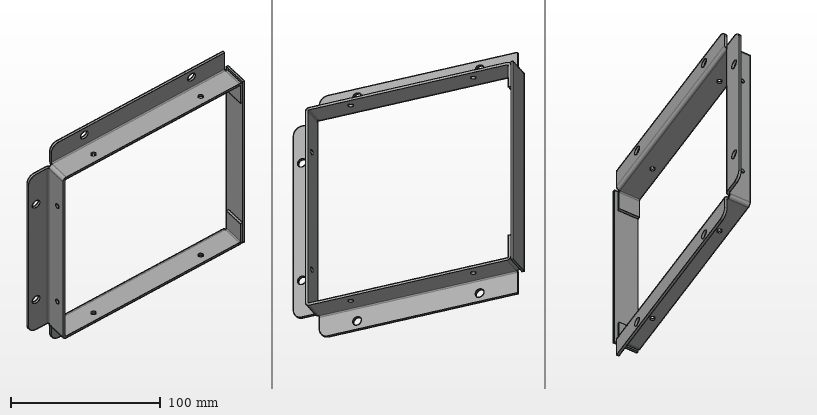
import cadquery as cq
import math

depth = 18.26
frame_sheet = 1.885
strip_sheet = 1.588
inner_bend = 0.79
outer_bend = inner_bend + frame_sheet

frame_height = 152.4
total_width = 168.47
flange_reach = depth - frame_sheet
frame_width = total_width - flange_reach - strip_sheet

tab_length = 19.05
corner_radius = 6.35

mount_hole_diameter = 6.35
mount_hole_edge = 6.35
wall_hole_diameter = 3.45
wall_hole_edge = 6.35
hole_spacing_horizontal = 89.8
hole_spacing_vertical = 90.5


def frame_walls():
    """Three walls with rounded corners, and two tabs left on the open +Y side."""
    wall_depth = depth - outer_bend
    outer = (
        cq.Workplane("YZ", origin=(outer_bend, 0, 0))
        .rect(frame_width, frame_height)
        .extrude(wall_depth)
        .edges("|X")
        .fillet(outer_bend)
    )
    opening = (
        cq.Workplane("YZ", origin=(outer_bend, 0, 0))
        .rect(frame_width - 2 * frame_sheet, frame_height - 2 * frame_sheet)
        .extrude(wall_depth)
        .edges("|X")
        .fillet(inner_bend)
    )
    tab_gap = cq.Workplane("XY").box(2 * depth, 2 * outer_bend, frame_height - 2 * tab_length)
    return outer.cut(opening).cut(tab_gap.translate((depth, frame_width / 2, 0)))


def flange(wall_offset, wall_length, rounded_corners):
    """Bend and flange that stand up (+Z) from a wall whose outer face is at Z = wall_offset."""
    length = wall_length - 2 * outer_bend
    bend_center_z = wall_offset + inner_bend
    edge_z = wall_offset + flange_reach
    diagonal = math.sqrt(0.5)
    profile = (
        cq.Workplane("XZ", origin=(0, length / 2, 0))
        .moveTo(0, edge_z)
        .lineTo(0, bend_center_z)
        .threePointArc(
            (outer_bend * (1 - diagonal), bend_center_z - outer_bend * diagonal),
            (outer_bend, bend_center_z - outer_bend),
        )
        .lineTo(outer_bend, wall_offset)
        .threePointArc(
            (outer_bend - inner_bend * diagonal, bend_center_z - inner_bend * diagonal),
            (frame_sheet, bend_center_z),
        )
        .lineTo(frame_sheet, edge_z)
        .close()
    )
    return profile.extrude(length).edges("|X and >Z").edges(rounded_corners).fillet(corner_radius)


def side_holes(wall_offset, spacing):
    """Cutters for the two flange holes and two wall holes of one side, in the +Z position."""
    pair = [(-spacing / 2, 0), (spacing / 2, 0)]
    mount_holes = (
        cq.Workplane("YZ", origin=(0, 0, wall_offset + flange_reach - mount_hole_edge))
        .pushPoints(pair)
        .circle(mount_hole_diameter / 2)
        .extrude(frame_sheet)
    )
    wall_holes = (
        cq.Workplane("XY", origin=(depth - wall_hole_edge, 0, wall_offset - frame_sheet))
        .pushPoints([(0, y) for y, _ in pair])
        .circle(wall_hole_diameter / 2)
        .extrude(frame_sheet)
    )
    return mount_holes.add(wall_holes)


def make_frame():
    sides = [
        (0, frame_height / 2, frame_width, "<Y", hole_spacing_horizontal),
        (90, frame_width / 2, frame_height, "<Y or >Y", hole_spacing_vertical),
        (180, frame_height / 2, frame_width, ">Y", hole_spacing_horizontal),
    ]
    frame = frame_walls()
    for turn, offset, length, rounded_corners, spacing in sides:
        side = flange(offset, length, rounded_corners)
        frame = frame.union(side.rotate((0, 0, 0), (1, 0, 0), turn))
        for cutter in side_holes(offset, spacing).vals():
            frame = frame.cut(cutter.rotate((0, 0, 0), (1, 0, 0), turn))
    return frame


def make_strip():
    """Flat strip that lies on the outer faces of the two tabs."""
    strip = cq.Workplane("XY").box(depth, strip_sheet, frame_height, centered=(False, False, True))
    return strip.translate((0, frame_width / 2, 0))


frame = make_frame()
strip = make_strip()
result = cq.Compound.makeCompound([frame.solids().val(), strip.val()])